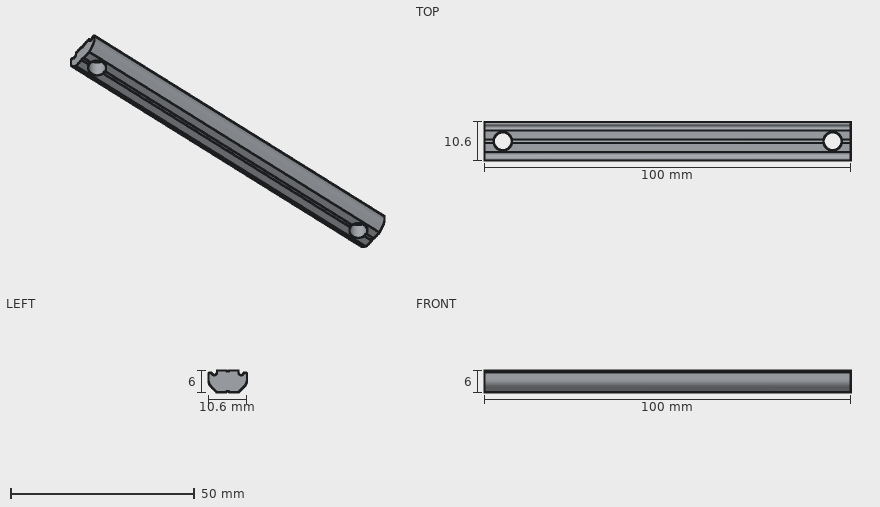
import cadquery as cq
import math

length = 100.0
width = 10.6
height = 6.0

land_width = 5.92
base_width = 6.0

shoulder_drop = 0.6
shoulder_radius = 0.53
groove_radius = 0.7

flank_angle = math.radians(45)
side_bottom = 3.35

mark_width = 0.9
mark_depth = 0.3

hole_diameter = 4.92
hole_spacing = 90.0


def arc_point(center, radius, angle):
    """Point (y, z) on a circle of the section, with the angle measured from +Y towards +Z."""
    return (
        center[0] + radius * math.cos(angle),
        center[1] + radius * math.sin(angle),
    )


def make_half_bar():
    """Extruded +Y half of the section, without marks and holes."""
    half_width = width / 2
    half_land = land_width / 2
    half_base = base_width / 2

    slope_rise = (half_width - half_base) * math.tan(flank_angle)
    flank_radius = (side_bottom - slope_rise) / math.tan(flank_angle / 2)
    flank_center = (half_width - flank_radius, side_bottom)

    shoulder_center = (half_width - shoulder_radius, height - shoulder_drop - shoulder_radius)
    groove_center_y = half_land + groove_radius
    center_run = shoulder_center[0] - groove_center_y
    center_rise = math.sqrt((shoulder_radius + groove_radius) ** 2 - center_run ** 2)
    groove_center = (groove_center_y, shoulder_center[1] + center_rise)
    tangency_angle = math.atan2(
        groove_center[1] - shoulder_center[1],
        groove_center[0] - shoulder_center[0],
    )
    tangency = arc_point(shoulder_center, shoulder_radius, tangency_angle)

    return (
        cq.Workplane("YZ", origin=(-length / 2, 0, 0))
        .moveTo(0, 0)
        .lineTo(half_base, 0)
        .lineTo(*arc_point(flank_center, flank_radius, -flank_angle))
        .threePointArc(
            arc_point(flank_center, flank_radius, -flank_angle / 2),
            (half_width, side_bottom),
        )
        .lineTo(half_width, shoulder_center[1])
        .threePointArc(arc_point(shoulder_center, shoulder_radius, tangency_angle / 2), tangency)
        .threePointArc(
            arc_point(groove_center, groove_radius, -math.pi / 2),
            (half_land, groove_center[1]),
        )
        .lineTo(half_land, height)
        .lineTo(0, height)
        .close()
        .extrude(length)
    )


def make_mark(surface_z, bottom_z):
    """Rounded cutter along the full length, open at surface_z and deepest at bottom_z."""
    return (
        cq.Workplane("YZ", origin=(-length / 2, 0, 0))
        .moveTo(-mark_width / 2, surface_z)
        .threePointArc((0, bottom_z), (mark_width / 2, surface_z))
        .close()
        .extrude(length)
    )


def make_holes():
    """Cutters for the two through holes near the ends."""
    return (
        cq.Workplane("XY")
        .pushPoints([(-hole_spacing / 2, 0), (hole_spacing / 2, 0)])
        .circle(hole_diameter / 2)
        .extrude(height)
    )


half_bar = make_half_bar()
bar = half_bar.union(half_bar.mirror("XZ")).clean()
bar = bar.cut(make_mark(height, height - mark_depth))
bar = bar.cut(make_mark(0, mark_depth))
result = bar.cut(make_holes())